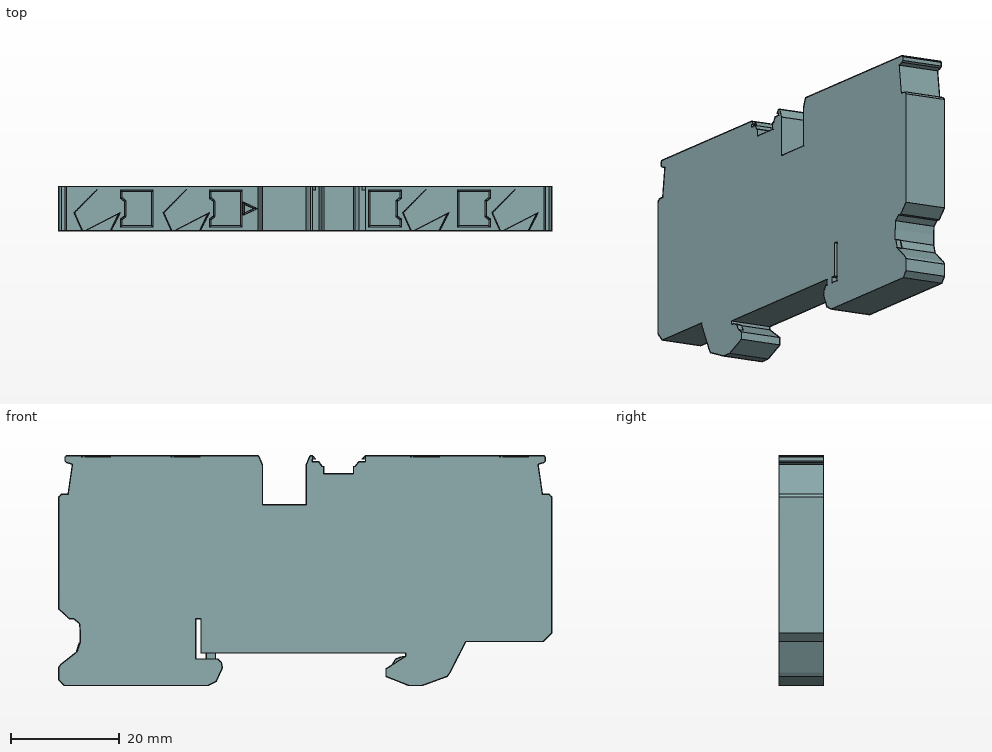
import cadquery as cq

LENGTH = 90.6
WIDTH = 8.2
HEIGHT = 42.3

LIP_INSET = 1.15
LIP_CHAMFER = 0.3
LIP_BOTTOM = 41.0
NECK_INSET = 2.5
NECK_TOP = 40.7
NECK_BASE_INSET = 1.7
SHOULDER_Z = 35.2
SHOULDER_CHAMFER_X = 0.5
SHOULDER_CHAMFER_Z = 0.5

SLOT_LEFT = 37.45
SLOT_RIGHT = 45.45
SLOT_FLOOR = 33.3
SLOT_LEAD_IN_X = 0.55
SLOT_LEAD_IN_Z = 1.3
SLOT_TIP_X = 0.25
SLOT_TIP_Z = 0.4

SEAT_LEFT = 46.6
SEAT_RIGHT = 56.35
SEAT_LEDGE_Z = 41.2
SEAT_LEDGE_WIDTH = 1.2
SEAT_FLOOR_LEFT = 48.7
SEAT_FLOOR_RIGHT = 54.15
SEAT_STEP_WIDTH = 0.3
SEAT_WALL_TOP = 40.3
SEAT_FLOOR = 39.0

UNDERSIDE_Z = 6.0
HEEL_Z = 8.1
HEEL_CHAMFER = 1.55
FOOT_TOP = 4.95
RELIEF_LEFT = 25.2
RELIEF_RIGHT = 26.1
RELIEF_TOP = 12.3

HOOK_ROOT = (74.8, HEEL_Z)
HOOK_BACK_UPPER = (71.9, 2.4)
HOOK_BACK_LOWER = (71.4, 1.7)
HOOK_BASE_RIGHT = (66.7, 0)
HOOK_BASE_LEFT = (64.4, 0)
HOOK_NOSE_X = 60.1
HOOK_NOSE_BOTTOM = 1.7
HOOK_NOSE_TOP = 3.1
HOOK_RIB_START = (61.2, 3.8)
HOOK_RIB_SHOULDER = (61.9, 4.9)
HOOK_RIB_CREST = (62.9, 5.3)
HOOK_THROAT = (63.75, 5.4)

FOOT_TOE_TOP = (29.2, FOOT_TOP)
FOOT_TOE_UPPER = (29.9, 4.3)
FOOT_TOE_TIP = (30.1, 3.3)
FOOT_TOE_LOWER = (28.95, 0.8)
FOOT_BASE_RIGHT = (27.4, 0)
FOOT_BASE_LEFT = (1.0, 0)
FOOT_SIDE_BOTTOM = 1.1
FOOT_SIDE_TOP = 3.4
FOOT_SHOULDER = (0.35, 3.9)

NOTCH_CORNER = (3.4, 6.3)
NOTCH_WALL_X = 3.95
NOTCH_WALL_BOTTOM = (NOTCH_WALL_X, 7.9)
NOTCH_WALL_TOP = (NOTCH_WALL_X, 9.8)
NOTCH_UPPER_CORNER = (3.8, 11.45)
NOTCH_ROOF_Z = 12.3
NOTCH_ROOF_RIGHT = 2.75
NOTCH_ROOF_LEFT = 1.95
NOTCH_MOUTH_TOP = 14.1
NOTCH_RIB_BOTTOM = (3.2, 6.15)
NOTCH_RIB_TOP = (3.75, NOTCH_WALL_BOTTOM[1])

EAR_THICKNESS = 0.7
EAR_REACH = 0.6
EAR_DROP = 0.65
WEB_LEFT = 27.1
WEB_RIGHT = 28.85
RIB_THICKNESS = 1.05

MARK_DEPTH = 0.27
MARK_WALL_ANGLE = 45
PAD_LENGTH = 6.0
PAD_WIDTH = 6.8
PAD_NOTCH_DEPTH = 0.7
PAD_NOTCH_HALF_MOUTH = 1.9
PAD_NOTCH_HALF_FLOOR = 1.35
PAD_OUTER_EDGES = (11.35, 27.7)
PAD_INNER_EDGES = (56.95, 73.3)
CHEVRON_TIPS = (2.8, 19.2, 63.2, 79.6)
CHEVRON_TIP_Y = 3.35
CHEVRON_SIDE = 4.25
CHEVRON_FRONT_START = 1.5
CHEVRON_LINE_WIDTH = 0.1
CHEVRON_RECESS_START = 2.0
CHEVRON_RECESS_END = 6.8
RECESS_WALL_RUN = 0.15
ARROW_BASE_X = 33.9
ARROW_LENGTH = 2.6
ARROW_HALF_WIDTH = 1.2


def prism_y(points, y_start, y_end):
    """Extrude an XZ outline between two Y positions."""
    plane = cq.Workplane("XZ", origin=(0, y_start, 0))
    return plane.polyline(points).close().extrude(y_start - y_end)


def end_profile():
    """Left end from the shoulder up to the top face, for mirroring to the right end."""
    return [
        (0, SHOULDER_Z - SHOULDER_CHAMFER_Z),
        (SHOULDER_CHAMFER_X, SHOULDER_Z),
        (NECK_BASE_INSET, SHOULDER_Z),
        (NECK_INSET, NECK_TOP),
        (LIP_INSET + LIP_CHAMFER, LIP_BOTTOM),
        (LIP_INSET, LIP_BOTTOM + LIP_CHAMFER),
        (LIP_INSET, HEIGHT - LIP_CHAMFER),
        (LIP_INSET + LIP_CHAMFER, HEIGHT),
    ]


def top_profile():
    """Deep slot and marker seat, from left to right."""
    tip_z = HEIGHT - SLOT_TIP_Z
    return [
        (SLOT_LEFT - SLOT_LEAD_IN_X - SLOT_TIP_X, HEIGHT),
        (SLOT_LEFT - SLOT_LEAD_IN_X, tip_z),
        (SLOT_LEFT, tip_z - SLOT_LEAD_IN_Z),
        (SLOT_LEFT, SLOT_FLOOR),
        (SLOT_RIGHT, SLOT_FLOOR),
        (SLOT_RIGHT, tip_z - SLOT_LEAD_IN_Z),
        (SLOT_RIGHT + SLOT_LEAD_IN_X, tip_z),
        (SLOT_RIGHT + SLOT_LEAD_IN_X + SLOT_TIP_X, HEIGHT),
        (SEAT_LEFT, HEIGHT),
        (SEAT_LEFT, SEAT_LEDGE_Z),
        (SEAT_LEFT + SEAT_LEDGE_WIDTH, SEAT_LEDGE_Z),
        (SEAT_FLOOR_LEFT - SEAT_STEP_WIDTH, SEAT_WALL_TOP),
        (SEAT_FLOOR_LEFT, SEAT_WALL_TOP),
        (SEAT_FLOOR_LEFT, SEAT_FLOOR),
        (SEAT_FLOOR_RIGHT, SEAT_FLOOR),
        (SEAT_FLOOR_RIGHT, SEAT_WALL_TOP),
        (SEAT_FLOOR_RIGHT + SEAT_STEP_WIDTH, SEAT_WALL_TOP),
        (SEAT_RIGHT - SEAT_LEDGE_WIDTH, SEAT_LEDGE_Z),
        (SEAT_RIGHT, SEAT_LEDGE_Z),
        (SEAT_RIGHT, HEIGHT),
    ]


def hook_profile():
    """Heel and right-hand rail hook, from right to left."""
    return [
        (LENGTH, HEEL_Z + HEEL_CHAMFER),
        (LENGTH - HEEL_CHAMFER, HEEL_Z),
        HOOK_ROOT,
        HOOK_BACK_UPPER,
        HOOK_BACK_LOWER,
        HOOK_BASE_RIGHT,
        HOOK_BASE_LEFT,
        (HOOK_NOSE_X, HOOK_NOSE_BOTTOM),
        (HOOK_NOSE_X, HOOK_NOSE_TOP),
        HOOK_RIB_START,
        HOOK_THROAT,
        (HOOK_THROAT[0], UNDERSIDE_Z),
    ]


def foot_profile():
    """Relief slit, left-hand rail foot and the notch above it, ending on the left side."""
    return [
        (RELIEF_RIGHT, UNDERSIDE_Z),
        (RELIEF_RIGHT, RELIEF_TOP),
        (RELIEF_LEFT, RELIEF_TOP),
        (RELIEF_LEFT, FOOT_TOP),
        FOOT_TOE_TOP,
        FOOT_TOE_UPPER,
        FOOT_TOE_TIP,
        FOOT_TOE_LOWER,
        FOOT_BASE_RIGHT,
        FOOT_BASE_LEFT,
        (0, FOOT_SIDE_BOTTOM),
        (0, FOOT_SIDE_TOP),
        FOOT_SHOULDER,
        NOTCH_CORNER,
        NOTCH_WALL_BOTTOM,
        NOTCH_WALL_TOP,
        NOTCH_UPPER_CORNER,
        (NOTCH_ROOF_RIGHT, NOTCH_ROOF_Z),
        (NOTCH_ROOF_LEFT, NOTCH_ROOF_Z),
        (0, NOTCH_MOUTH_TOP),
    ]


def make_body():
    left_end = end_profile()
    right_end = [(LENGTH - x, z) for x, z in reversed(left_end)]
    outline = left_end + top_profile() + right_end + hook_profile() + foot_profile()
    return prism_y(outline, 0, WIDTH)


def add_side_features(body):
    """Retaining ears of the marker seat, foot web and small ribs, all flush with the +Y side."""
    for wall_x, inward in ((SEAT_LEFT, 1), (SEAT_RIGHT, -1)):
        ear = [
            (wall_x, HEIGHT),
            (wall_x + inward * EAR_REACH, HEIGHT - EAR_DROP),
            (wall_x, HEIGHT - EAR_DROP),
        ]
        body = body.union(prism_y(ear, WIDTH - EAR_THICKNESS, WIDTH))
    web = [
        (WEB_LEFT, FOOT_TOP),
        (WEB_RIGHT, FOOT_TOP),
        (WEB_RIGHT, UNDERSIDE_Z),
        (WEB_LEFT, UNDERSIDE_Z),
    ]
    hook_rib = [HOOK_RIB_START, HOOK_RIB_SHOULDER, HOOK_RIB_CREST, HOOK_THROAT]
    notch_rib = [NOTCH_WALL_BOTTOM, NOTCH_CORNER, NOTCH_RIB_BOTTOM, NOTCH_RIB_TOP]
    for outline in (web, hook_rib, notch_rib):
        body = body.union(prism_y(outline, WIDTH - RIB_THICKNESS, WIDTH))
    return body


def tapered_mark(points):
    """Shallow cutter under the top face whose walls slope inward."""
    plane = cq.Workplane("XY", origin=(0, 0, HEIGHT))
    return plane.polyline(points).close().extrude(-MARK_DEPTH, taper=MARK_WALL_ANGLE)


def pad_mark(notched_x, inward):
    """Rectangular pad with a notch in one end; inward is the X direction from that end."""
    middle = WIDTH / 2
    far_x = notched_x + inward * PAD_LENGTH
    floor_x = notched_x + inward * PAD_NOTCH_DEPTH
    return tapered_mark([
        (notched_x, middle - PAD_WIDTH / 2),
        (far_x, middle - PAD_WIDTH / 2),
        (far_x, middle + PAD_WIDTH / 2),
        (notched_x, middle + PAD_WIDTH / 2),
        (notched_x, middle + PAD_NOTCH_HALF_MOUTH),
        (floor_x, middle + PAD_NOTCH_HALF_FLOOR),
        (floor_x, middle - PAD_NOTCH_HALF_FLOOR),
        (notched_x, middle - PAD_NOTCH_HALF_MOUTH),
    ])


def arrow_mark():
    middle = WIDTH / 2
    return tapered_mark([
        (ARROW_BASE_X, middle - ARROW_HALF_WIDTH),
        (ARROW_BASE_X + ARROW_LENGTH, middle),
        (ARROW_BASE_X, middle + ARROW_HALF_WIDTH),
    ])


def chevron_line(tip_x):
    """Narrow engraved line: from its back end diagonally to the tip, then to the -Y side."""
    back_end = (tip_x + CHEVRON_SIDE, CHEVRON_TIP_Y + CHEVRON_SIDE)
    front_end = (tip_x + CHEVRON_FRONT_START, 0)
    return (
        cq.Workplane("XY", origin=(0, 0, HEIGHT))
        .polyline([
            back_end,
            (tip_x, CHEVRON_TIP_Y),
            front_end,
            (front_end[0] + CHEVRON_LINE_WIDTH, 0),
            (tip_x + CHEVRON_LINE_WIDTH, CHEVRON_TIP_Y),
        ])
        .close()
        .extrude(-MARK_DEPTH)
    )


def chevron_recess(tip_x):
    """Flat triangular recess open to the -Y side, with a sloping wall on its right."""
    start = (tip_x + CHEVRON_RECESS_START, 0)
    apex_x = tip_x + 2 * CHEVRON_SIDE
    front_x = tip_x + CHEVRON_RECESS_END
    return (
        cq.Workplane("XY", origin=(0, 0, HEIGHT))
        .polyline([start, (front_x, 0), (apex_x, CHEVRON_TIP_Y)])
        .close()
        .workplane(offset=-MARK_DEPTH)
        .polyline([
            start,
            (front_x - RECESS_WALL_RUN, 0),
            (apex_x - 2 * RECESS_WALL_RUN, CHEVRON_TIP_Y - RECESS_WALL_RUN),
        ])
        .close()
        .loft(ruled=True)
    )


def cut_top_marks(body):
    for x in PAD_OUTER_EDGES:
        body = body.cut(pad_mark(x, 1))
    for x in PAD_INNER_EDGES:
        body = body.cut(pad_mark(x + PAD_LENGTH, -1))
    for x in CHEVRON_TIPS:
        body = body.cut(chevron_line(x)).cut(chevron_recess(x))
    return body.cut(arrow_mark())


result = cut_top_marks(add_side_features(make_body()))